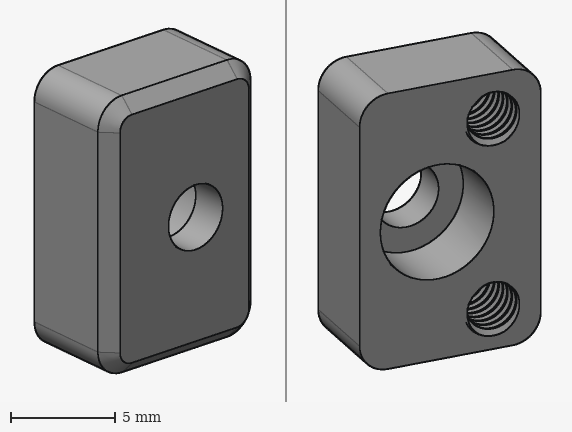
import cadquery as cq

thickness = 5.5
width = 9.58
height = 14.5
corner_radius = 1.5
back_chamfer = 0.75

bore_y = 0.7
bore_diameter = 3.4
counterbore_diameter = 6.0
counterbore_depth = 3.5

thread_y = -2.28
thread_spacing = 10.0
minor_diameter = 2.52
major_diameter = 3.09
thread_turns = 8
thread_length = 4.0
pitch = thread_length / thread_turns
root_width = pitch / 8
groove_width = 3 * pitch / 4
overlap = 0.03


def cylinder_from_face(diameter, depth, y, z):
    """Cylinder running from the mounting face into the block along +X."""
    return cq.Workplane("YZ").center(y, z).circle(diameter / 2).extrude(depth)


def make_block():
    block = cq.Workplane("YZ").rect(width, height).extrude(thickness)
    block = block.edges("|X").fillet(corner_radius)
    return block.faces(">X").chamfer(back_chamfer)


def thread_groove():
    """Right-handed helical groove along +Z, starting one pitch below z = 0."""
    minor_radius = minor_diameter / 2
    major_radius = major_diameter / 2
    flank_slope = (groove_width - root_width) / 2 / (major_radius - minor_radius)
    inner_radius = minor_radius - overlap
    inner_half_width = groove_width / 2 + overlap * flank_slope
    path = cq.Wire.makeHelix(pitch, thread_length, minor_radius)
    profile = cq.Workplane("XZ").polyline([
        (inner_radius, -inner_half_width),
        (major_radius, -root_width / 2),
        (major_radius, root_width / 2),
        (inner_radius, inner_half_width),
    ]).close()
    groove = profile.sweep(cq.Workplane(path), isFrenet=True)
    return groove.translate((0, 0, -pitch))


def cut_threaded_hole(block, z):
    """The groove is turned so that it meets the mounting face at the -Z side of the hole."""
    groove = thread_groove().rotate((0, 0, 0), (0, 1, 0), 90).translate((0, thread_y, z))
    drilled = block.cut(cylinder_from_face(minor_diameter, thread_length, thread_y, z))
    return drilled.cut(groove)


result = make_block()
result = result.cut(cylinder_from_face(bore_diameter, thickness, bore_y, 0))
result = result.cut(cylinder_from_face(counterbore_diameter, counterbore_depth, bore_y, 0))
for side in (-1, 1):
    result = cut_threaded_hole(result, side * thread_spacing / 2)